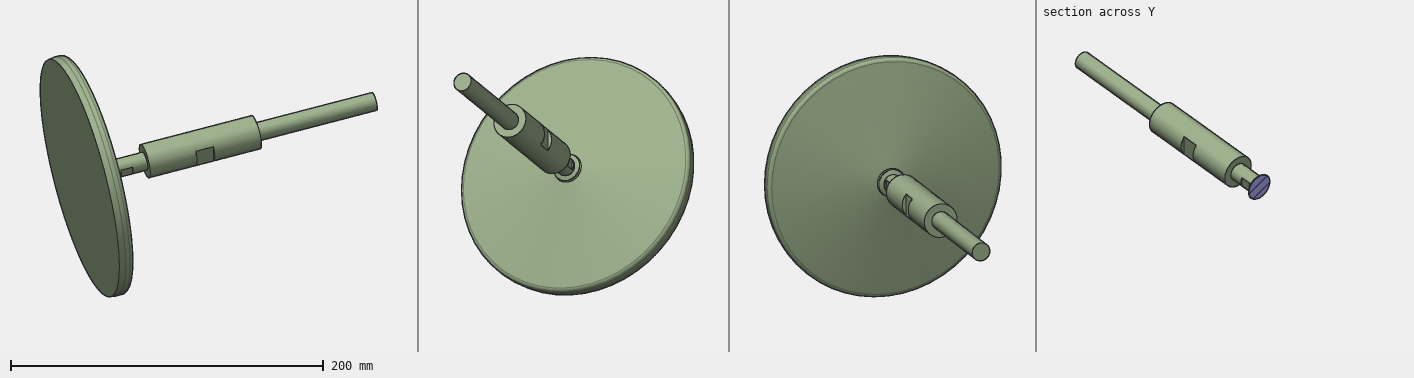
import cadquery as cq
import math


total_length = 199.0
foot_diameter = 158.0
sole_edge_bevel = 0.5
rim_land_start = 4.2
rim_fillet_start = 7.2
cone_start = 9.8
cone_top = 21.3
cone_top_radius = 9.4
neck_groove_position = 22.3
neck_groove_radius = 8.2
neck_lip_position = 22.9
neck_lip_radius = 9.0
neck_top = 24.0

spindle_diameter = 12.0
spindle_across_flats = 10.0
spindle_flat_length = 8.0
spindle_flat_start = 26.0

sleeve_diameter = 22.0
sleeve_length = 75.0
sleeve_start = 44.0
sleeve_across_flats = 17.0
sleeve_flat_length = 12.0


def cylinder_along_y(diameter, start, length):
    """Solid cylinder running in +Y from the given start."""
    disc = cq.Workplane("XZ", origin=(0, start, 0)).circle(diameter / 2)
    return disc.extrude(-length)


def cut_wrench_flats(body, diameter, across_flats, start, length):
    """Cut two parallel flats facing -X and +X into a round body."""
    depth = (diameter - across_flats) / 2
    for side in (-1, 1):
        center = (side * (across_flats + depth) / 2, start + length / 2, 0)
        body = body.cut(cq.Workplane("XY").box(depth, length, diameter).translate(center))
    return body


def make_foot():
    """Revolved conical foot with a rounded rim and a lipped neck."""
    rim_radius = foot_diameter / 2
    rise = cone_start - rim_fillet_start
    slope = math.atan2(cone_top - cone_start, rim_radius - cone_top_radius)
    fillet_radius = rise / math.cos(slope)
    cone_start_radius = rim_radius - fillet_radius * (1 - math.sin(slope))
    half_angle = (math.pi / 2 - slope) / 2
    arc_middle = (
        rim_radius - fillet_radius * (1 - math.cos(half_angle)),
        rim_fillet_start + fillet_radius * math.sin(half_angle),
    )
    profile = (
        cq.Workplane("XY")
        .lineTo(rim_radius - sole_edge_bevel, 0)
        .lineTo(rim_radius, rim_land_start)
        .lineTo(rim_radius, rim_fillet_start)
        .threePointArc(arc_middle, (cone_start_radius, cone_start))
        .lineTo(cone_top_radius, cone_top)
        .lineTo(neck_groove_radius, neck_groove_position)
        .lineTo(neck_lip_radius, neck_lip_position)
        .lineTo(spindle_diameter / 2, neck_top)
        .lineTo(0, neck_top)
        .close()
    )
    return profile.revolve(360, (0, 0, 0), (0, 1, 0))


def make_spindle():
    """Plain round rod standing on the foot, with wrench flats near its lower end."""
    rod = cylinder_along_y(spindle_diameter, neck_top, total_length - neck_top)
    return cut_wrench_flats(
        rod, spindle_diameter, spindle_across_flats, spindle_flat_start, spindle_flat_length
    )


def make_sleeve():
    """Sleeve around the spindle with wrench flats at mid length."""
    blank = cylinder_along_y(sleeve_diameter, sleeve_start, sleeve_length)
    flat_start = sleeve_start + (sleeve_length - sleeve_flat_length) / 2
    blank = cut_wrench_flats(
        blank, sleeve_diameter, sleeve_across_flats, flat_start, sleeve_flat_length
    )
    return blank.cut(cylinder_along_y(spindle_diameter, sleeve_start, sleeve_length))


foot = make_foot()
spindle = make_spindle()
sleeve = make_sleeve()

result = cq.Compound.makeCompound([foot.val(), spindle.val(), sleeve.val()])